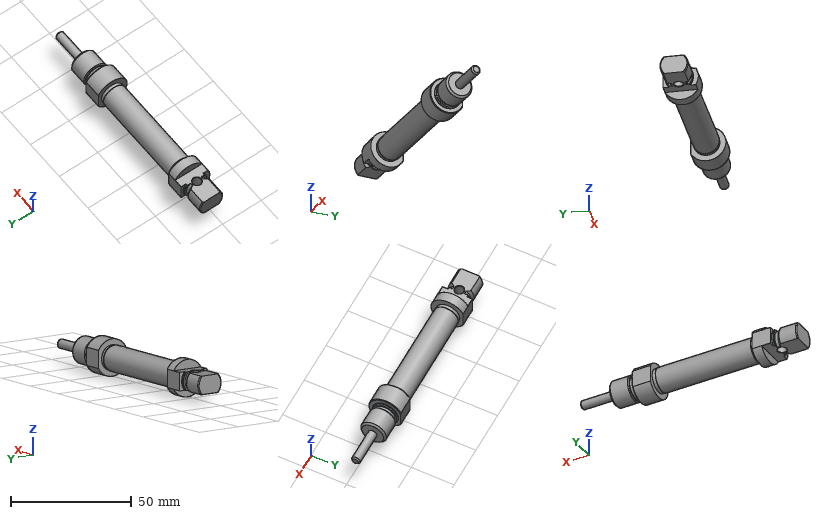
import cadquery as cq

LENGTH = 106.0

COLLAR_R = 8.0
THREAD_R = 5.99
RELIEF_R = 4.9
COLLAR_FLAT_Y = 7.0

EYE_CHAMFER = 0.4
EYE_THREAD_END = 8.4
REAR_RELIEF_END = 10.9
REAR_SHOULDER_CHAMFER = 0.3
REAR_COLLAR_START = 11.9
TONGUE_END = 16.0
TONGUE_THICKNESS = 8.0
REAR_COLLAR_END = 20.6
PIVOT_HOLE_X = 10.2
PIVOT_HOLE_DIAMETER = 4.0
PIVOT_HOLE_CHAMFER = 0.2

BARREL_R = 5.67
BARREL_NECK_R = 5.46
BARREL_NECK_LENGTH = 1.6

FRONT_COLLAR_START = 69.3
FRONT_COLLAR_END = 78.0
FRONT_COLLAR_CHAMFER = 0.3
FRONT_RELIEF_START = 78.9
FRONT_RELIEF_END = 80.5
FRONT_THREAD_CHAMFER = 0.4
FRONT_CAP_END = 90.0
FRONT_END_CHAMFER = 0.8

ROD_R = 2.0
ROD_CHAMFER = 0.6


def turned(profile):
    """Solid of revolution about X from (x, radius) points of its outer profile."""
    start_x = profile[0][0]
    end_x = profile[-1][0]
    outline = [(start_x, 0)] + profile + [(end_x, 0)]
    return cq.Workplane("XY").polyline(outline).close().revolve(360, (0, 0, 0), (1, 0, 0))


def box_between(x_range, y_range, z_range):
    """Axis-aligned box given by its limits along each axis."""
    low, high = zip(x_range, y_range, z_range)
    size = [b - a for a, b in zip(low, high)]
    return cq.Workplane("XY").box(*size, centered=False).translate(low)


def cut_collar_flat(cap, start_x, end_x):
    """Cut the flat on the +Y side of a cap's collar."""
    return cap.cut(
        box_between((start_x, end_x), (COLLAR_FLAT_Y, COLLAR_R), (-COLLAR_R, COLLAR_R))
    )


def make_rear_cap():
    relief_depth = THREAD_R - RELIEF_R
    cap = turned([
        (0, THREAD_R - EYE_CHAMFER),
        (EYE_CHAMFER, THREAD_R),
        (EYE_THREAD_END, THREAD_R),
        (EYE_THREAD_END + relief_depth, RELIEF_R),
        (REAR_RELIEF_END, RELIEF_R),
        (REAR_RELIEF_END, THREAD_R - REAR_SHOULDER_CHAMFER),
        (REAR_RELIEF_END + REAR_SHOULDER_CHAMFER, THREAD_R),
        (REAR_COLLAR_START, THREAD_R),
        (REAR_COLLAR_START, COLLAR_R),
        (REAR_COLLAR_END, COLLAR_R),
    ])
    cap = cut_collar_flat(cap, REAR_COLLAR_START, REAR_COLLAR_END)

    tongue_z = TONGUE_THICKNESS / 2
    for z_range in ((tongue_z, COLLAR_R), (-COLLAR_R, -tongue_z)):
        cap = cap.cut(box_between((0, TONGUE_END), (-COLLAR_R, COLLAR_R), z_range))

    hole_r = PIVOT_HOLE_DIAMETER / 2
    mouth_r = hole_r + PIVOT_HOLE_CHAMFER
    chamfer_z = tongue_z - PIVOT_HOLE_CHAMFER
    pivot_hole = (
        cq.Workplane("XZ")
        .polyline([
            (0, -tongue_z),
            (mouth_r, -tongue_z),
            (hole_r, -chamfer_z),
            (hole_r, chamfer_z),
            (mouth_r, tongue_z),
            (0, tongue_z),
        ])
        .close()
        .revolve(360, (0, 0, 0), (0, 1, 0))
        .translate((PIVOT_HOLE_X, 0, 0))
    )
    return cap.cut(pivot_hole)


def make_barrel():
    body_start = REAR_COLLAR_END + BARREL_NECK_LENGTH
    body_end = FRONT_COLLAR_START - BARREL_NECK_LENGTH
    return turned([
        (REAR_COLLAR_END, BARREL_NECK_R),
        (body_start, BARREL_NECK_R),
        (body_start, BARREL_R),
        (body_end, BARREL_R),
        (body_end, BARREL_NECK_R),
        (FRONT_COLLAR_START, BARREL_NECK_R),
    ])


def make_front_cap():
    cap = turned([
        (FRONT_COLLAR_START, COLLAR_R),
        (FRONT_COLLAR_END - FRONT_COLLAR_CHAMFER, COLLAR_R),
        (FRONT_COLLAR_END, COLLAR_R - FRONT_COLLAR_CHAMFER),
        (FRONT_COLLAR_END, THREAD_R),
        (FRONT_RELIEF_START - FRONT_THREAD_CHAMFER, THREAD_R),
        (FRONT_RELIEF_START, THREAD_R - FRONT_THREAD_CHAMFER),
        (FRONT_RELIEF_START, RELIEF_R),
        (FRONT_RELIEF_END, RELIEF_R),
        (FRONT_RELIEF_END, THREAD_R - FRONT_THREAD_CHAMFER),
        (FRONT_RELIEF_END + FRONT_THREAD_CHAMFER, THREAD_R),
        (FRONT_CAP_END - FRONT_END_CHAMFER, THREAD_R),
        (FRONT_CAP_END, THREAD_R - FRONT_END_CHAMFER),
    ])
    return cut_collar_flat(cap, FRONT_COLLAR_START, FRONT_COLLAR_END)


def make_piston_rod():
    return turned([
        (FRONT_CAP_END, ROD_R),
        (LENGTH - ROD_CHAMFER, ROD_R),
        (LENGTH, ROD_R - ROD_CHAMFER),
    ])


rear_cap = make_rear_cap()
barrel = make_barrel()
front_cap = make_front_cap()
piston_rod = make_piston_rod()

result = cq.Compound.makeCompound([
    rear_cap.val(),
    barrel.val(),
    front_cap.val(),
    piston_rod.val(),
])